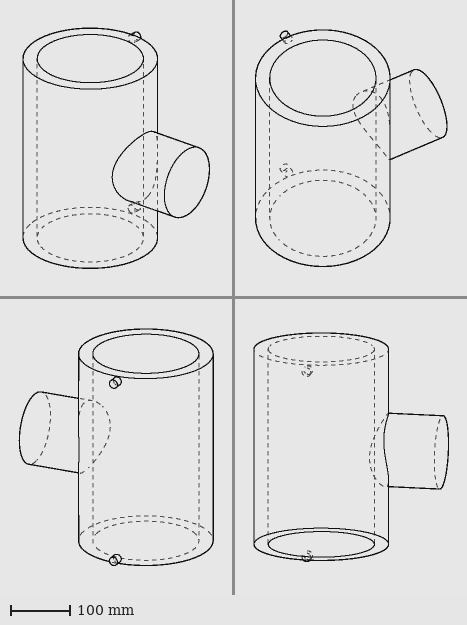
import cadquery as cq

pipe_height = 340.0
pipe_diameter = 227.8
bore_diameter = 179.5
pipe_radius = pipe_diameter / 2
wall_middle_radius = (pipe_diameter + bore_diameter) / 4

branch_diameter = 124.5
branch_reach = 207.0

pin_diameter = 15.0
pin_projection = 15.3
pin_end_distance = 9.0


def make_branch():
    """Cylinder from the pipe axis out to the branch end."""
    return (
        cq.Workplane("YZ")
        .center(0, pipe_height / 2)
        .circle(branch_diameter / 2)
        .extrude(branch_reach)
    )


def make_pin(height):
    """Round pin rooted in the middle of the pipe wall, pointing along +Y."""
    pin_reach = pipe_radius + pin_projection
    return (
        cq.Workplane("XZ", origin=(0, wall_middle_radius, height))
        .circle(pin_diameter / 2)
        .extrude(wall_middle_radius - pin_reach)
    )


body = cq.Workplane("XY").circle(pipe_radius).extrude(pipe_height)
body = body.union(make_branch())

for pin_height in (pin_end_distance, pipe_height - pin_end_distance):
    body = body.union(make_pin(pin_height))

bore = cq.Workplane("XY").circle(bore_diameter / 2).extrude(pipe_height)
result = body.cut(bore)